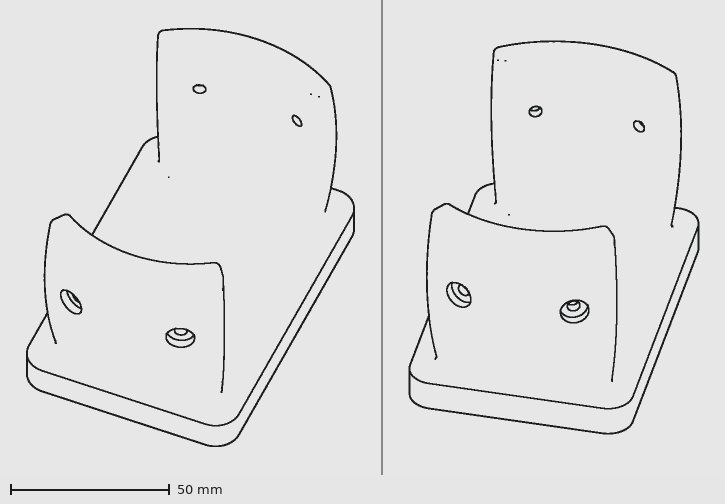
import cadquery as cq
import math

base_width = 72.0
base_length = 105.9
base_thickness = 10.0
base_corner_radius = 8.0

total_height = 71.5
outer_radius = 54.9
belly_height = 45.8
outer_profile_radius = 138.4
inner_radius = 48.9
inner_profile_radius = 96.6
wall_half_angle = 35.0
edge_fillet = 2.0
inner_top_fillet = 1.0
root_fillet = 2.0

hole_diameter = 4.0
counterbore_diameter = 9.0
counterbore_depth = 3.0
hole_height = belly_height
hole_half_angle = 20.0


def barrel_radius(z, belly_radius, profile_radius):
    """Distance from the Z axis to a barrel surface at height z."""
    drop = profile_radius - math.sqrt(profile_radius**2 - (z - belly_height) ** 2)
    return belly_radius - drop


def outer_point(z):
    return barrel_radius(z, outer_radius, outer_profile_radius), z


def inner_point(z):
    return barrel_radius(z, inner_radius, inner_profile_radius), z


def make_base():
    return (
        cq.Workplane("XY")
        .rect(base_width, base_length)
        .extrude(base_thickness)
        .edges("|Z")
        .fillet(base_corner_radius)
    )


def make_wall():
    """Wall segment centred on the +Y direction, with its free edges rounded."""
    middle_height = (base_thickness + total_height) / 2
    segment = (
        cq.Workplane("XZ")
        .moveTo(*inner_point(base_thickness))
        .lineTo(*outer_point(base_thickness))
        .threePointArc(outer_point(middle_height), outer_point(total_height))
        .lineTo(*inner_point(total_height))
        .threePointArc(inner_point(middle_height), inner_point(base_thickness))
        .close()
        .revolve(2 * wall_half_angle, (0, 0, 0), (0, -1, 0))
        .rotate((0, 0, 0), (0, 0, 1), 90 + wall_half_angle)
    )
    inner_top = cq.selectors.NearestToPointSelector((0, 0, total_height))
    main_edges = segment.edges(cq.StringSyntaxSelector("not(<Z)") - inner_top)
    wall = main_edges.fillet(edge_fillet)
    return wall.faces(">Z").edges(inner_top).fillet(inner_top_fillet)


def make_hole_cutter(angle):
    """Stepped cutter running inwards along the direction at the given angle from X."""
    radians = math.radians(angle)
    outward = cq.Vector(math.cos(radians), math.sin(radians), 0)
    height = cq.Vector(0, 0, hole_height)
    floor_distance = outer_radius - counterbore_depth
    start_distance = inner_radius / 2
    drill = cq.Solid.makeCylinder(
        hole_diameter / 2, outer_radius - start_distance, outward * start_distance + height, outward
    )
    counterbore = cq.Solid.makeCylinder(
        counterbore_diameter / 2, 2 * counterbore_depth, outward * floor_distance + height, outward
    )
    return cq.Workplane(drill).union(cq.Workplane(counterbore))


base = make_base()
wall = make_wall()
body = base.union(wall).union(wall.mirror("XZ"))

root_zone = cq.selectors.BoxSelector(
    (base_corner_radius - base_width / 2, root_fillet / 2 - base_length / 2, base_thickness - root_fillet / 2),
    (base_width / 2 - base_corner_radius, base_length / 2 - root_fillet / 2, base_thickness + root_fillet / 2),
)
body = body.edges(root_zone).fillet(root_fillet)

for side in (90, -90):
    for offset in (-hole_half_angle, hole_half_angle):
        body = body.cut(make_hole_cutter(side + offset))

result = body